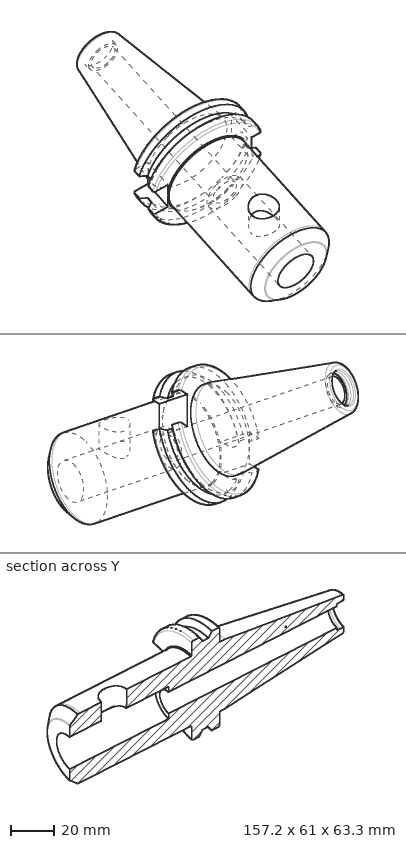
import cadquery as cq
import math

total_length = 157.2
taper_length = 68.4
flange_start = 71.2
flange_end = 87.4

body_diameter = 44.5
taper_ratio = 7 / 24
small_end_fillet = 1.5
body_radius = body_diameter / 2
small_end_radius = body_radius - taper_length * taper_ratio / 2

nose_taper_start = 151.2
nose_taper_length = 1.4
nose_taper_depth = 0.08
nose_chamfer_start = nose_taper_start + nose_taper_length
nose_chamfer_depth = 4.7
nose_fillet = 0.6
nose_rim_radius = body_radius - nose_taper_depth
nose_face_radius = nose_rim_radius - nose_chamfer_depth

flange_diameter = 63.3
flange_edge_round = 1.1
root_fillet = 0.5
groove_center = 79.4
groove_floor_diameter = 56.5
groove_floor_width = 3.1
groove_mouth_width = 7.0
flange_radius = flange_diameter / 2
groove_floor_radius = groove_floor_diameter / 2

slot_width = 16.5
slot_flare_start = 30.3
left_slot_floor = 24.8
right_slot_floor = 22.5

through_diameter = 13.4
entry_diameter = 16.8
entry_depth = 2.2
entry_round = 0.6
seat_diameter = 16.3
seat_cone_end = 3.5
seat_depth = 4.2
tool_diameter = 20.1
tool_bore_start = 100.5

screw_diameter = 14.3
screw_x = 131.8


def body():
    """Solid of revolution: taper, body and chamfered nose."""
    outline = (
        cq.Workplane("XY")
        .moveTo(0, 0)
        .lineTo(0, small_end_radius)
        .lineTo(taper_length, body_radius)
        .lineTo(nose_taper_start, body_radius)
        .lineTo(nose_chamfer_start, nose_rim_radius)
        .lineTo(total_length, nose_face_radius)
        .lineTo(total_length, 0)
        .close()
    )
    solid = outline.revolve(360, (0, 0, 0), (1, 0, 0))
    solid = solid.faces("<X").edges().fillet(small_end_fillet)
    return solid.faces(">X").edges().fillet(nose_fillet)


def driving_slot(side, floor):
    """Cutter for one slot, with flared walls at its mouth; side is +1 or -1 along Y."""
    half_width = slot_width / 2
    flared_half_width = half_width + flange_radius - slot_flare_start
    return (
        cq.Workplane("YZ", origin=(flange_start, 0, 0))
        .moveTo(side * floor, -half_width)
        .lineTo(side * slot_flare_start, -half_width)
        .lineTo(side * flange_radius, -flared_half_width)
        .lineTo(side * flange_radius, flared_half_width)
        .lineTo(side * slot_flare_start, half_width)
        .lineTo(side * floor, half_width)
        .close()
        .extrude(flange_end + root_fillet - flange_start)
    )


def root_ring():
    """Concave fillet ring where the +X face of the flange meets the body."""
    fillet_end = flange_end + root_fillet
    fillet_top = body_radius + root_fillet
    arc_offset = root_fillet * math.sqrt(0.5)
    return (
        cq.Workplane("XY")
        .moveTo(flange_end, 0)
        .lineTo(flange_end, fillet_top)
        .threePointArc((fillet_end - arc_offset, fillet_top - arc_offset), (fillet_end, body_radius))
        .lineTo(fillet_end, 0)
        .close()
        .revolve(360, (0, 0, 0), (1, 0, 0))
    )


def flange():
    """Grooved flange and its root fillet, with both driving slots cut away."""
    disc = (
        cq.Workplane("YZ", origin=(flange_start, 0, 0))
        .circle(flange_radius)
        .extrude(flange_end - flange_start)
        .edges()
        .fillet(flange_edge_round)
    )
    groove = (
        cq.Workplane("XY")
        .moveTo(groove_center - groove_mouth_width / 2, flange_radius)
        .lineTo(groove_center - groove_floor_width / 2, groove_floor_radius)
        .lineTo(groove_center + groove_floor_width / 2, groove_floor_radius)
        .lineTo(groove_center + groove_mouth_width / 2, flange_radius)
        .close()
        .revolve(360, (0, 0, 0), (1, 0, 0))
    )
    disc = disc.cut(groove).union(root_ring())
    for side, floor in ((1, left_slot_floor), (-1, right_slot_floor)):
        disc = disc.cut(driving_slot(side, floor))
    return disc


def axial_hole(diameter, start, end):
    """Cylinder along the part axis between two X positions."""
    return cq.Workplane("YZ", origin=(start, 0, 0)).circle(diameter / 2).extrude(end - start)


def entry_recess():
    """Cutter for the small-end recess: rounded mouth, straight wall, cone and flat seat."""
    entry_radius = entry_diameter / 2
    seat_radius = seat_diameter / 2
    mouth_radius = entry_radius + entry_round
    arc_offset = entry_round * math.sqrt(0.5)
    return (
        cq.Workplane("XY")
        .moveTo(0, 0)
        .lineTo(0, mouth_radius)
        .threePointArc(
            (entry_round - arc_offset, mouth_radius - arc_offset),
            (entry_round, entry_radius),
        )
        .lineTo(entry_depth, entry_radius)
        .lineTo(seat_cone_end, seat_radius)
        .lineTo(seat_depth, seat_radius)
        .lineTo(seat_depth, 0)
        .close()
        .revolve(360, (0, 0, 0), (1, 0, 0))
    )


def screw_hole():
    """Radial hole from the top of the body down to the axis."""
    return cq.Workplane("XY", origin=(screw_x, 0, 0)).circle(screw_diameter / 2).extrude(body_radius)


result = (
    body()
    .union(flange())
    .cut(axial_hole(through_diameter, 0, total_length))
    .cut(entry_recess())
    .cut(axial_hole(tool_diameter, tool_bore_start, total_length))
    .cut(screw_hole())
)